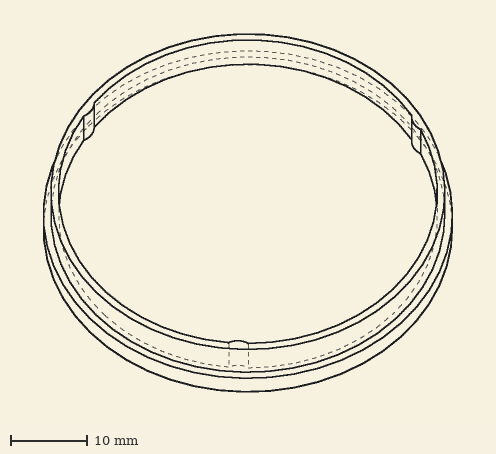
import cadquery as cq
import math

flange_diameter = 53.8
rim_outer_diameter = 51.8
rim_inner_diameter = 49.8
total_height = 8.0
flange_height = 3.0
recess_depth = 5.3

bump_count = 3
first_bump_angle = 90.0
bump_width = 2.6
bump_height = 0.405

rim_inner_radius = rim_inner_diameter / 2
floor_height = total_height - recess_depth


def disc(diameter, bottom, top):
    """Upright cylinder on the Z axis between two heights."""
    return cq.Workplane("XY").workplane(offset=bottom).circle(diameter / 2).extrude(top - bottom)


def grip_bump(angle):
    """Rib with an arc-shaped face, rooted in the rim wall at the given angle."""
    half_width = bump_width / 2
    edge_radius = math.sqrt(rim_inner_radius**2 - half_width**2)
    crest_radius = rim_inner_radius - bump_height
    root_radius = (rim_inner_diameter + rim_outer_diameter) / 4
    return (
        cq.Workplane("XY")
        .workplane(offset=floor_height)
        .moveTo(root_radius, -half_width)
        .lineTo(edge_radius, -half_width)
        .threePointArc((crest_radius, 0), (edge_radius, half_width))
        .lineTo(root_radius, half_width)
        .close()
        .extrude(recess_depth)
        .rotate((0, 0, 0), (0, 0, 1), angle)
    )


result = disc(flange_diameter, 0, flange_height)
result = result.union(disc(rim_outer_diameter, 0, total_height))
result = result.cut(disc(rim_inner_diameter, floor_height, total_height))

for index in range(bump_count):
    result = result.union(grip_bump(first_bump_angle + index * 360 / bump_count))